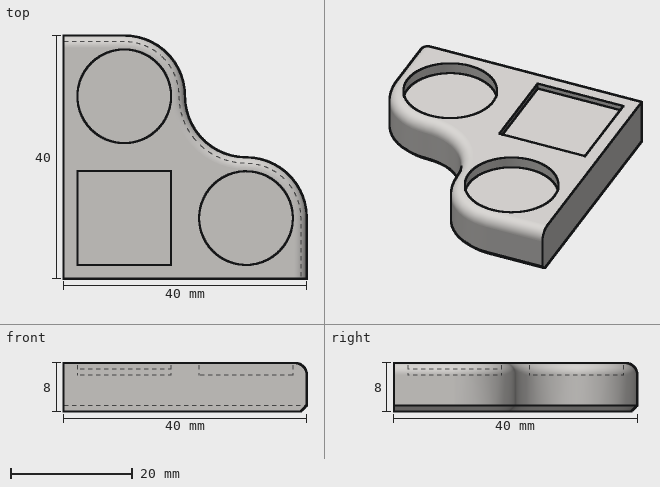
import cadquery as cq
import math

cell = 20.0
height = 8.0
top_fillet = 2.0
bottom_chamfer = 1.0
pocket_width = 15.4
round_pocket_depth = 2.0
square_pocket_depth = 1.0

size = 2 * cell
near = cell / 2
far = near + cell
corner_radius = cell / 2
arc_offset = corner_radius * math.sqrt(0.5)


def make_slab():
    """L-shaped slab with two round outer corners joined by a round inner corner."""
    return (
        cq.Workplane("XY")
        .lineTo(size, 0)
        .lineTo(size, near)
        .threePointArc((far + arc_offset, near + arc_offset), (far, cell))
        .threePointArc((far - arc_offset, far - arc_offset), (cell, far))
        .threePointArc((near + arc_offset, far + arc_offset), (near, size))
        .lineTo(0, size)
        .close()
        .extrude(height)
    )


def border_edges(body, face):
    """Edges of a horizontal face, except the two straight sides on the X and Y axes."""
    return body.faces(face).edges("not (<X or <Y)")


def make_round_pockets():
    """Round pockets in the two end cells of the L."""
    return (
        cq.Workplane("XY", origin=(0, 0, height))
        .pushPoints([(near, far), (far, near)])
        .circle(pocket_width / 2)
        .extrude(-round_pocket_depth)
    )


def make_square_pocket():
    """Shallow square pocket in the corner cell of the L."""
    return (
        cq.Workplane("XY", origin=(near, near, height))
        .rect(pocket_width, pocket_width)
        .extrude(-square_pocket_depth)
    )


body = make_slab()
body = border_edges(body, ">Z").fillet(top_fillet)
body = border_edges(body, "<Z").chamfer(bottom_chamfer)

result = body.cut(make_round_pockets()).cut(make_square_pocket())